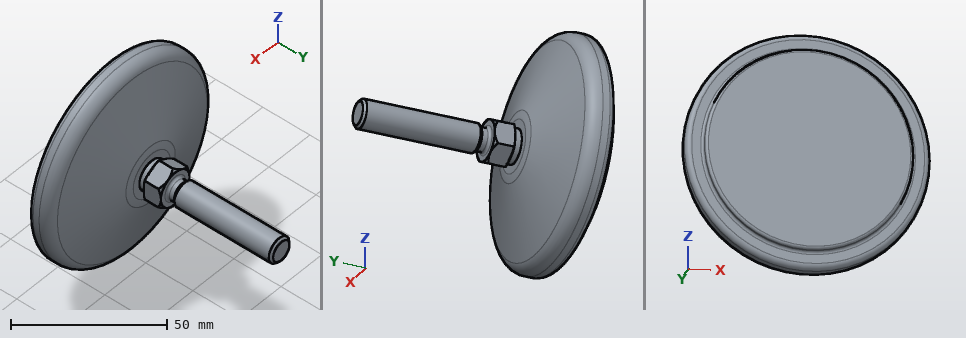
import cadquery as cq
import math


plate_radius = 40.0
pad_radius = 34.0
pad_round = 1.0
pad_height = 2.5
plate_height = 20.0
lower_rim_round = 2.0
upper_rim_round = 5.0
rim_top = 7.0
cone_angle = 17.6
crown_round = 10.0

stem_end = 75.0
thread_radius = 5.0
thread_chamfer = 1.0
thread_start = 34.0
relief_radius = 4.0
relief_fillet = 1.0
hex_top = 30.0
hex_across_flats = 14.0
hex_bottom = 23.0
collar_top = 22.4
collar_radius = 6.0


def foot_plate():
    """Turned plate with a stepped pad below and a conical top."""
    slope = math.radians(cone_angle)
    sine = math.sin(slope)
    cosine = math.cos(slope)
    diagonal = math.sqrt(0.5)

    rim_center_r = plate_radius - upper_rim_round
    cone_start_r = rim_center_r + upper_rim_round * sine
    cone_start_y = rim_top + upper_rim_round * cosine
    rim_mid_angle = (slope + math.pi / 2) / 2
    rim_mid = (
        rim_center_r + upper_rim_round * math.sin(rim_mid_angle),
        rim_top + upper_rim_round * math.cos(rim_mid_angle),
    )

    crown_center_y = plate_height - crown_round
    cone_end_y = crown_center_y + crown_round * cosine
    cone_end_r = cone_start_r - (cone_end_y - cone_start_y) / math.tan(slope)
    crown_center_r = cone_end_r - crown_round * sine
    crown_mid = (
        crown_center_r + crown_round * math.sin(slope / 2),
        crown_center_y + crown_round * math.cos(slope / 2),
    )

    pad_round_mid = (
        pad_radius - pad_round * (1 - diagonal),
        pad_round * (1 - diagonal),
    )
    root_fillet_mid = (
        pad_radius + pad_round * (1 - diagonal),
        pad_height - pad_round * (1 - diagonal),
    )
    lower_rim_mid = (
        plate_radius - lower_rim_round * (1 - diagonal),
        pad_height + lower_rim_round * (1 - diagonal),
    )

    profile = (
        cq.Workplane("XY")
        .moveTo(0, 0)
        .lineTo(pad_radius - pad_round, 0)
        .threePointArc(pad_round_mid, (pad_radius, pad_round))
        .lineTo(pad_radius, pad_height - pad_round)
        .threePointArc(root_fillet_mid, (pad_radius + pad_round, pad_height))
        .lineTo(plate_radius - lower_rim_round, pad_height)
        .threePointArc(lower_rim_mid, (plate_radius, pad_height + lower_rim_round))
        .lineTo(plate_radius, rim_top)
        .threePointArc(rim_mid, (cone_start_r, cone_start_y))
        .lineTo(cone_end_r, cone_end_y)
        .threePointArc(crown_mid, (crown_center_r, plate_height))
        .lineTo(0, plate_height)
        .close()
    )
    return profile.revolve(360, (0, 0, 0), (0, 1, 0))


def turned_shank():
    """Collar, relief groove and thread as one turned core of the stem."""
    fillet_mid_offset = relief_fillet * (1 - math.sqrt(0.5))
    profile = (
        cq.Workplane("XY")
        .moveTo(0, plate_height)
        .lineTo(collar_radius, plate_height)
        .lineTo(collar_radius, hex_top)
        .lineTo(relief_radius + relief_fillet, hex_top)
        .threePointArc(
            (relief_radius + fillet_mid_offset, hex_top + fillet_mid_offset),
            (relief_radius, hex_top + relief_fillet),
        )
        .lineTo(relief_radius, thread_start - (thread_radius - relief_radius))
        .lineTo(thread_radius, thread_start)
        .lineTo(thread_radius, stem_end - thread_chamfer)
        .lineTo(thread_radius - thread_chamfer, stem_end)
        .lineTo(0, stem_end)
        .close()
    )
    return profile.revolve(360, (0, 0, 0), (0, 1, 0))


def hexagon():
    """Wrench hexagon with corners toward +Z and -Z and turned end chamfers."""
    flat_radius = hex_across_flats / 2
    corner_radius = flat_radius / math.cos(math.pi / 6)
    plane = cq.Plane(origin=(0, collar_top, 0), xDir=(0, 0, 1), normal=(0, 1, 0))
    prism = cq.Workplane(plane).polygon(6, 2 * corner_radius).extrude(hex_top - collar_top)
    envelope = (
        cq.Workplane("XY")
        .moveTo(0, collar_top)
        .lineTo(collar_radius, collar_top)
        .lineTo(corner_radius, hex_bottom)
        .lineTo(corner_radius, hex_top - (corner_radius - flat_radius))
        .lineTo(flat_radius, hex_top)
        .lineTo(0, hex_top)
        .close()
        .revolve(360, (0, 0, 0), (0, 1, 0))
    )
    return prism.intersect(envelope)


foot = foot_plate()
stem = turned_shank().union(hexagon()).solids()

result = cq.Compound.makeCompound([foot.val(), stem.val()])